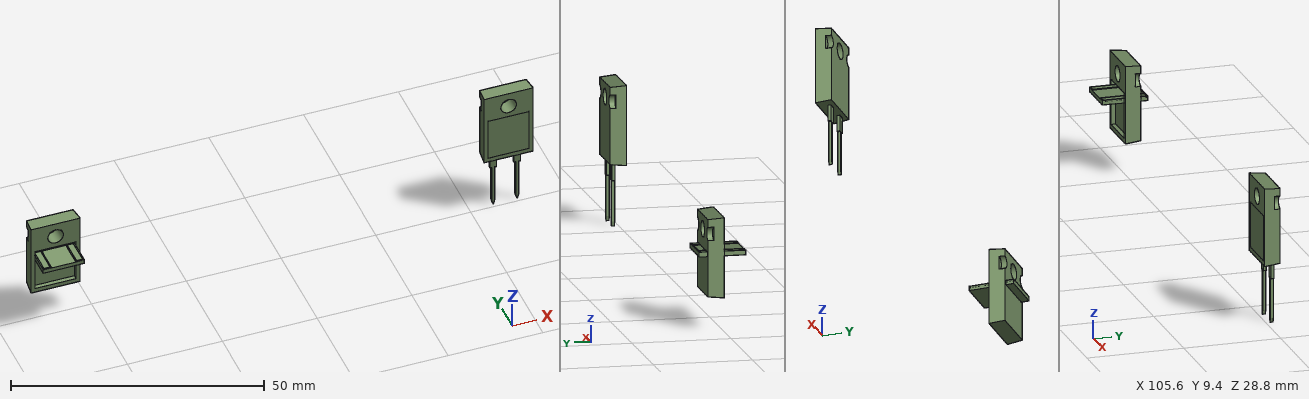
import cadquery as cq

overall_length = 105.6
overall_height = 28.8

housing_width = 10.4
housing_height = 16.2
housing_depth = 3.3
rim_thickness = 0.2
draft_angle = 5.0
hole_diameter = 3.3
hole_drop = 3.2
notch_radius = 1.4
notch_depth = 1.2

slug_width = 8.7
slug_height = 9.4
slug_thickness = 1.0
seat_drop = 5.8

wall_thickness = 0.25
strip_width = 1.3
strip_thickness = 0.3
recess_depth = 0.1

lead_pitch = 5.1
lead_thickness = 0.6
pin_width = 0.6
shoulder_width = 1.4
shoulder_length = 3.4
tip_length = 1.0
tip_width = 0.1
lead_setback = 2.2

right_x = (overall_length - housing_width) / 2
left_x = -right_x
right_front = -1.1
left_front = -0.2
right_top = overall_height / 2
left_top = right_top - 6.0

loose_slug_front = -slug_height / 2
loose_slug_top = 1.5

lead_length = overall_height - housing_height
strip_length = slug_height - 2 * wall_thickness
strip_offset = slug_width / 2 - wall_thickness - strip_width / 2
recess_width = slug_width - 2 * strip_width - 4 * wall_thickness
recess_length = slug_height - wall_thickness


def block(width, depth, height, x, front, bottom):
    """A box centred on x, reaching back from its front face and up from its bottom."""
    centre = (x, front + depth / 2, bottom + height / 2)
    return cq.Workplane("XY").box(width, depth, height).translate(centre)


def make_fitted_slug(x, front, top):
    """A slug standing in the seat of a housing, flush with its front face."""
    bottom = top - seat_drop - slug_height
    return block(slug_width, slug_thickness, slug_height, x, front, bottom)


def make_housing(x, front, top):
    """A housing with its mounting hole, clip notches and empty slug seat."""
    back = front + housing_depth
    rim = block(housing_width, rim_thickness, housing_height, x, front, top - housing_height)
    drafted_part = (
        cq.Workplane("XZ", origin=(x, front + rim_thickness, top - housing_height / 2))
        .rect(housing_width, housing_height)
        .extrude(rim_thickness - housing_depth, taper=draft_angle)
    )
    back_plane = cq.Workplane("XZ", origin=(x, back, top - hole_drop))
    hole = back_plane.circle(hole_diameter / 2).extrude(housing_depth)
    notches = (
        back_plane.pushPoints([(-housing_width / 2, 0), (housing_width / 2, 0)])
        .circle(notch_radius)
        .extrude(notch_depth)
    )
    seat = make_fitted_slug(x, front, top)
    return rim.union(drafted_part).cut(hole).cut(notches).cut(seat)


def make_loose_slug_blank():
    """The outer block of the loose slug, also the shape of its slot in the left housing."""
    bottom = loose_slug_top - slug_thickness
    return block(slug_width, slug_height, slug_thickness, left_x, loose_slug_front, bottom)


def make_strip(side):
    """A strip inlaid flush in the loose slug; side is -1 or 1."""
    x = left_x + side * strip_offset
    front = loose_slug_front + wall_thickness
    return block(strip_width, strip_length, strip_thickness, x, front, loose_slug_top - strip_thickness)


def make_loose_slug(strips):
    """The loose slug with a pocket for each strip and a middle recess open at the front."""
    recess_floor = loose_slug_top - recess_depth
    recess = block(recess_width, recess_length, recess_depth, left_x, loose_slug_front, recess_floor)
    slug = make_loose_slug_blank().cut(recess)
    for strip in strips:
        slug = slug.cut(strip)
    return slug


def make_lead(side):
    """A lead hanging from the bottom of the right housing; side is -1 or 1."""
    x = right_x + side * lead_pitch / 2
    front = right_front + lead_setback - lead_thickness / 2
    top = right_top - housing_height
    outline = (
        cq.Workplane("XZ", origin=(x, front, top))
        .moveTo(shoulder_width / 2, 0)
        .lineTo(shoulder_width / 2, -shoulder_length)
        .lineTo(pin_width / 2, -shoulder_length)
        .lineTo(pin_width / 2, tip_length - lead_length)
        .lineTo(tip_width / 2, -lead_length)
        .lineTo(-tip_width / 2, -lead_length)
        .lineTo(-pin_width / 2, tip_length - lead_length)
        .lineTo(-pin_width / 2, -shoulder_length)
        .lineTo(-shoulder_width / 2, -shoulder_length)
        .lineTo(-shoulder_width / 2, 0)
        .close()
    )
    return outline.extrude(-lead_thickness)


sides = (-1, 1)

right_housing = make_housing(right_x, right_front, right_top)
fitted_slug = make_fitted_slug(right_x, right_front, right_top)
leads = [make_lead(side) for side in sides]

left_housing = make_housing(left_x, left_front, left_top).cut(make_loose_slug_blank())
strips = [make_strip(side) for side in sides]
loose_slug = make_loose_slug(strips)

result = cq.Compound.makeCompound(
    [
        right_housing.val(),
        fitted_slug.val(),
        *[lead.val() for lead in leads],
        left_housing.val(),
        loose_slug.val(),
        *[strip.val() for strip in strips],
    ]
)